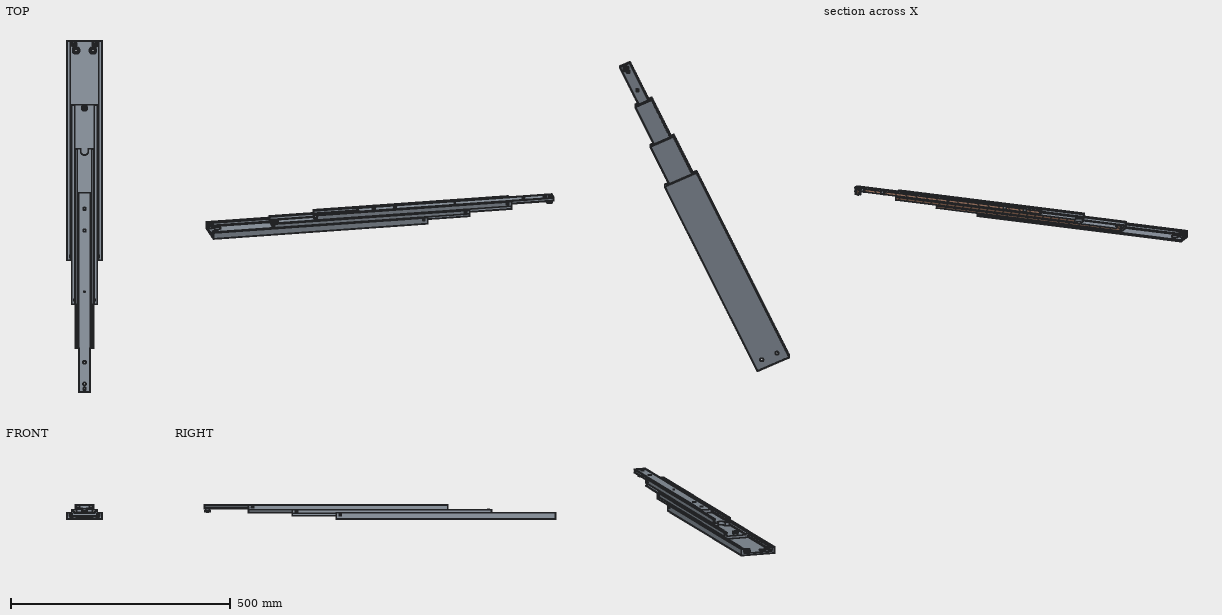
import cadquery as cq


TOTAL_LENGTH = 800.0
STEP = 100.0
FRONT_END = -TOTAL_LENGTH / 2
BACK_END = TOTAL_LENGTH / 2
INNER_RAIL_LENGTH = 454.0

BASE_HALF_WIDTH = 40.0
BASE_INNER_HALF_WIDTH = 33.0
BASE_FLOOR_TOP = 5.0
BASE_TOP = 14.0

LOWER_HALF_WIDTH = 30.0
LOWER_INNER_HALF_WIDTH = 22.0
LOWER_BOTTOM = 7.0
LOWER_FLOOR_TOP = 14.0
LOWER_TOP = 22.0

UPPER_HALF_WIDTH = 21.0
UPPER_INNER_HALF_WIDTH = 16.0
UPPER_BOTTOM = 14.0
UPPER_FLOOR_TOP = 22.0
UPPER_TOP = 32.0

SLIDER_HALF_WIDTH = 13.0
SLIDER_BOTTOM = 24.0
SLIDER_TOP = UPPER_TOP

TRACK_RADIUS = 3.0
BASE_TRACK_HEIGHT = 10.0
LOWER_TRACK_HEIGHT = 18.0
UPPER_TRACK_HEIGHT = 28.0

STUD_STEM_RADIUS = 5.0
STUD_FLANGE_RADIUS = 6.0
STUD_NIPPLE_RADIUS = 2.0
STUD_LENGTH = 7.0
STUD_FLANGE_THICKNESS = 2.0
STUD_NIPPLE_LENGTH = 2.0
STUD_FROM_END = 7.0
BASE_STUD_X = 24.0

MOUNT_HOLE_X = 19.0
MOUNT_HOLE_FROM_BACK = 22.0
MOUNT_HOLE_DIAMETER = 7.0
COUNTERSINK_DIAMETER = 16.0
COUNTERSINK_ANGLE = 90

SLOT_WIDTH = 18.0
SLOT_DEPTH = 14.0

STOP_HOLE_RADIUS = 2.0
STOP_HOLE_FROM_END = 10.0
STOP_HOLE_BELOW_TOP = 4.0

SLIDER_HOLE_DISTANCES = (18.0, 68.0, 368.0, 418.0)
SLIDER_HOLE_RADIUS = 3.0
PILOT_HOLE_DISTANCE = 229.0
PILOT_HOLE_RADIUS = 1.2

STUD_SOCKET_DEPTH = 4.0

BASE_TRACK_X = (BASE_INNER_HALF_WIDTH + LOWER_HALF_WIDTH) / 2
LOWER_TRACK_X = (LOWER_INNER_HALF_WIDTH + UPPER_HALF_WIDTH) / 2
UPPER_TRACK_X = (UPPER_INNER_HALF_WIDTH + SLIDER_HALF_WIDTH) / 2

SLIDER_FRONT = FRONT_END
UPPER_FRONT = SLIDER_FRONT + STEP
LOWER_FRONT = UPPER_FRONT + STEP
BASE_FRONT = LOWER_FRONT + STEP
UPPER_BACK = UPPER_FRONT + INNER_RAIL_LENGTH
LOWER_BACK = LOWER_FRONT + INNER_RAIL_LENGTH


def bar(half_width, bottom, top, front, back):
    """Rectangular bar along Y, centred on X = 0."""
    return cq.Workplane("XY").box(
        2 * half_width, back - front, top - bottom, centered=(True, False, False)
    ).translate((0, front, bottom))


def channel(half_width, inner_half_width, bottom, floor_top, top, front, back):
    """Bar with an open-topped channel along its whole length."""
    hollow = bar(inner_half_width, floor_top, top, front, back)
    return bar(half_width, bottom, top, front, back).cut(hollow)


def cut_tracks(rail, x, height):
    """Cut the ball track on both sides, along the whole rail."""
    tracks = (
        cq.Workplane("XZ")
        .pushPoints([(-x, height), (x, height)])
        .circle(TRACK_RADIUS)
        .extrude(TOTAL_LENGTH / 2, both=True)
    )
    return rail.cut(tracks)


def cut_stop_holes(rail, half_width, top, front):
    """Drill a stop hole through both side walls."""
    drill = (
        cq.Workplane("YZ")
        .center(front + STOP_HOLE_FROM_END, top - STOP_HOLE_BELOW_TOP)
        .circle(STOP_HOLE_RADIUS)
        .extrude(half_width, both=True)
    )
    return rail.cut(drill)


def stud(x, y, root_height, direction):
    """Stop stud that stands on a face, pointing up (direction 1) or down (direction -1)."""
    face = cq.Workplane("XY", origin=(x, y, root_height))
    flange_start = direction * (STUD_LENGTH - STUD_FLANGE_THICKNESS)
    flange_end = direction * STUD_LENGTH
    stem = face.circle(STUD_STEM_RADIUS).extrude(flange_end)
    flange = (
        face.workplane(offset=flange_start)
        .circle(STUD_FLANGE_RADIUS)
        .extrude(direction * STUD_FLANGE_THICKNESS)
    )
    nipple = (
        face.workplane(offset=flange_end)
        .circle(STUD_NIPPLE_RADIUS)
        .extrude(direction * STUD_NIPPLE_LENGTH)
    )
    return stem.union(flange).union(nipple)


def make_base_rail():
    rail = channel(
        BASE_HALF_WIDTH, BASE_INNER_HALF_WIDTH, 0, BASE_FLOOR_TOP, BASE_TOP, BASE_FRONT, BACK_END
    )
    rail = cut_tracks(rail, BASE_TRACK_X, BASE_TRACK_HEIGHT)
    rail = cut_stop_holes(rail, BASE_HALF_WIDTH, BASE_TOP, BASE_FRONT)
    rail = (
        rail.copyWorkplane(cq.Workplane("XY", origin=(0, BACK_END - MOUNT_HOLE_FROM_BACK, BASE_FLOOR_TOP)))
        .pushPoints([(-MOUNT_HOLE_X, 0), (MOUNT_HOLE_X, 0)])
        .cskHole(MOUNT_HOLE_DIAMETER, COUNTERSINK_DIAMETER, COUNTERSINK_ANGLE)
    )
    for x in (-BASE_STUD_X, BASE_STUD_X):
        rail = rail.union(stud(x, BACK_END - STUD_FROM_END, BASE_FLOOR_TOP, 1))
    return rail


def make_lower_rail():
    rail = channel(
        LOWER_HALF_WIDTH, LOWER_INNER_HALF_WIDTH,
        LOWER_BOTTOM, LOWER_FLOOR_TOP, LOWER_TOP,
        LOWER_FRONT, LOWER_BACK,
    )
    rail = cut_tracks(rail, BASE_TRACK_X, BASE_TRACK_HEIGHT)
    rail = cut_tracks(rail, LOWER_TRACK_X, LOWER_TRACK_HEIGHT)
    rail = cut_stop_holes(rail, LOWER_HALF_WIDTH, LOWER_TOP, LOWER_FRONT)
    return rail.union(stud(0, LOWER_BACK - STUD_FROM_END, LOWER_FLOOR_TOP, 1))


def make_upper_rail():
    rail = channel(
        UPPER_HALF_WIDTH, UPPER_INNER_HALF_WIDTH,
        UPPER_BOTTOM, UPPER_FLOOR_TOP, UPPER_TOP,
        UPPER_FRONT, UPPER_BACK,
    )
    rail = cut_tracks(rail, LOWER_TRACK_X, LOWER_TRACK_HEIGHT)
    rail = cut_tracks(rail, UPPER_TRACK_X, UPPER_TRACK_HEIGHT)
    rail = cut_stop_holes(rail, UPPER_HALF_WIDTH, UPPER_TOP, UPPER_FRONT)
    slot_radius = SLOT_WIDTH / 2
    slot = (
        cq.Workplane("XY", origin=(0, UPPER_BACK, UPPER_BOTTOM))
        .moveTo(-slot_radius, 0)
        .lineTo(-slot_radius, slot_radius - SLOT_DEPTH)
        .threePointArc((0, -SLOT_DEPTH), (slot_radius, slot_radius - SLOT_DEPTH))
        .lineTo(slot_radius, 0)
        .close()
        .extrude(UPPER_FLOOR_TOP - UPPER_BOTTOM)
    )
    return rail.cut(slot)


def make_slider():
    rail = bar(
        SLIDER_HALF_WIDTH, SLIDER_BOTTOM, SLIDER_TOP, SLIDER_FRONT, SLIDER_FRONT + INNER_RAIL_LENGTH
    )
    rail = cut_tracks(rail, UPPER_TRACK_X, UPPER_TRACK_HEIGHT)
    top_face = cq.Workplane("XY", origin=(0, SLIDER_FRONT, SLIDER_TOP))
    thickness = SLIDER_TOP - SLIDER_BOTTOM
    holes = (
        top_face.pushPoints([(0, distance) for distance in SLIDER_HOLE_DISTANCES])
        .circle(SLIDER_HOLE_RADIUS)
        .extrude(-thickness)
    )
    pilot_hole = top_face.center(0, PILOT_HOLE_DISTANCE).circle(PILOT_HOLE_RADIUS).extrude(-thickness)
    stud_socket = top_face.center(0, STUD_FROM_END).circle(SLIDER_HOLE_RADIUS).extrude(-STUD_SOCKET_DEPTH)
    rail = rail.cut(holes).cut(pilot_hole).cut(stud_socket)
    return rail.union(stud(0, SLIDER_FRONT + STUD_FROM_END, SLIDER_BOTTOM, -1))


base_rail = make_base_rail()
lower_rail = make_lower_rail()
upper_rail = make_upper_rail()
slider = make_slider()

result = cq.Compound.makeCompound(
    [base_rail.val(), lower_rail.val(), upper_rail.val(), slider.val()]
)